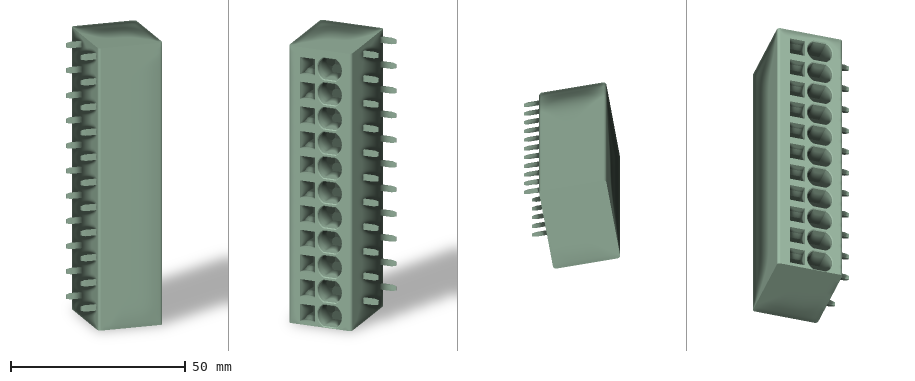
import cadquery as cq
import math

HEIGHT = 84.3
WIDTH = 24.1
BODY_DEPTH = 19.55
CORNER_RADIUS = 0.85

POLE_COUNT = 11
POLE_PITCH = 7.5
FIRST_POLE_Z = 3.6

ENTRY_Y = 6.8
ENTRY_RADIUS = 3.7
ENTRY_HEIGHT = 6.4
ENTRY_CHAMFER = 0.25
RIM_ANGLE = 45
ENTRY_DEPTH = 6.75
ENTRY_FUNNEL_DEPTH = 3.4
ENTRY_END_WIDTH = 5.15
ENTRY_END_HEIGHT = 3.9

RELEASE_Y_MIN = 11.4
RELEASE_WIDTH = 4.55
RELEASE_HEIGHT = 5.2
RELEASE_STRAIGHT_DEPTH = 2.2
RELEASE_NECK_DEPTH = 1.7
RELEASE_SLOT_HEIGHT = 3.8
RELEASE_DEPTH = 6.75
RELEASE_FLOOR_WIDTH = 3.2
RELEASE_FLOOR_HEIGHT = 3.45

PIN_LENGTH = 4.6
PIN_TIP_LENGTH = 1.3
PIN_THICKNESS = 0.85
PIN_HEIGHT = 1.7
PIN_TIP_THICKNESS = 0.5
PIN_TIP_HEIGHT = 1.2
PIN_Z_OFFSET = 2.9
FIRST_PIN_X = -3.0
PIN_ROW_SPACING = 13.15

FACE_X = -WIDTH / 2


def entry_plane(y, z, depth=0.0):
    """Plane at a depth behind the -X face; local x is +Y, local y is +Z, normal +X."""
    return cq.Workplane("YZ", origin=(FACE_X + depth, y, z))


def flatted_circle(plane, radius, height):
    """Circle cut by two flats, one above and one below its centre."""
    half_height = height / 2
    half_flat = math.sqrt(radius**2 - half_height**2)
    return (
        plane.moveTo(-half_flat, -half_height)
        .lineTo(half_flat, -half_height)
        .threePointArc((radius, 0), (half_flat, half_height))
        .lineTo(-half_flat, half_height)
        .threePointArc((-radius, 0), (-half_flat, -half_height))
        .close()
    )


def wire_entry(z):
    """Straight flatted bore with a chamfered rim, ending in a four-sided funnel."""
    bore = flatted_circle(entry_plane(ENTRY_Y, z), ENTRY_RADIUS, ENTRY_HEIGHT).extrude(ENTRY_DEPTH)
    rim = flatted_circle(
        entry_plane(ENTRY_Y, z),
        ENTRY_RADIUS + ENTRY_CHAMFER,
        ENTRY_HEIGHT + 2 * ENTRY_CHAMFER,
    ).extrude(ENTRY_CHAMFER, taper=RIM_ANGLE)
    funnel = (
        entry_plane(ENTRY_Y, z, ENTRY_DEPTH)
        .rect(2 * ENTRY_RADIUS, ENTRY_HEIGHT)
        .workplane(offset=ENTRY_FUNNEL_DEPTH)
        .rect(ENTRY_END_WIDTH, ENTRY_END_HEIGHT)
        .loft()
    )
    funnel_limit = entry_plane(ENTRY_Y, z, ENTRY_DEPTH).circle(ENTRY_RADIUS).extrude(ENTRY_FUNNEL_DEPTH)
    return bore.union(rim).union(funnel.intersect(funnel_limit))


def release_opening(z):
    """Pocket narrowing to a slightly tapered slot, its +Y wall sloping in from mouth to floor."""
    half_mouth = RELEASE_HEIGHT / 2
    half_slot = RELEASE_SLOT_HEIGHT / 2
    half_floor = RELEASE_FLOOR_HEIGHT / 2
    slot_start = RELEASE_STRAIGHT_DEPTH + RELEASE_NECK_DEPTH
    side_profile = (
        cq.Workplane("XZ", origin=(FACE_X, RELEASE_Y_MIN, z))
        .moveTo(0, -half_mouth)
        .lineTo(RELEASE_STRAIGHT_DEPTH, -half_mouth)
        .lineTo(slot_start, -half_slot)
        .lineTo(RELEASE_DEPTH, -half_floor)
        .lineTo(RELEASE_DEPTH, half_floor)
        .lineTo(slot_start, half_slot)
        .lineTo(RELEASE_STRAIGHT_DEPTH, half_mouth)
        .lineTo(0, half_mouth)
        .close()
        .extrude(-RELEASE_WIDTH)
    )
    sloped_wall_limit = (
        cq.Workplane("XY", origin=(FACE_X, RELEASE_Y_MIN, z - half_mouth))
        .lineTo(RELEASE_DEPTH, 0)
        .lineTo(RELEASE_DEPTH, RELEASE_FLOOR_WIDTH)
        .lineTo(0, RELEASE_WIDTH)
        .close()
        .extrude(RELEASE_HEIGHT)
    )
    return side_profile.intersect(sloped_wall_limit)


def solder_pin(x, z):
    """Flat pin pointing along -Y, with a tapered tip."""
    shank_length = PIN_LENGTH - PIN_TIP_LENGTH
    shank = cq.Workplane("XZ", origin=(x, 0, z)).rect(PIN_THICKNESS, PIN_HEIGHT).extrude(shank_length)
    tip = (
        shank.faces("<Y").workplane()
        .rect(PIN_THICKNESS, PIN_HEIGHT)
        .workplane(offset=PIN_TIP_LENGTH)
        .rect(PIN_TIP_THICKNESS, PIN_TIP_HEIGHT)
        .loft(combine=False)
    )
    return shank.union(tip)


result = (
    cq.Workplane("XY")
    .box(WIDTH, BODY_DEPTH, HEIGHT, centered=(True, False, False))
    .edges("|Z")
    .fillet(CORNER_RADIUS)
)

for pole in range(POLE_COUNT):
    pole_z = FIRST_POLE_Z + pole * POLE_PITCH
    result = result.cut(wire_entry(pole_z)).cut(release_opening(pole_z))
    for pin_x in (FIRST_PIN_X, FIRST_PIN_X + PIN_ROW_SPACING):
        result = result.union(solder_pin(pin_x, pole_z + PIN_Z_OFFSET))